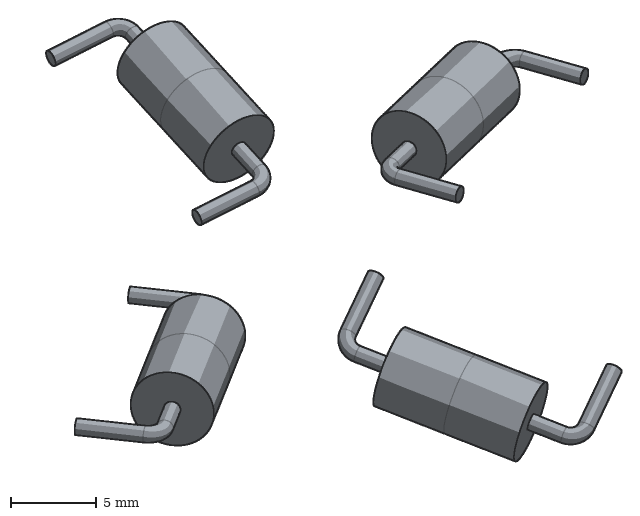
import cadquery as cq

overall_length = 16.24
overall_depth = 7.6
body_diameter = 5.0
body_length = 9.0
lead_diameter = 1.0
bend_radius = 1.0

lead_x = (overall_length - lead_diameter) / 2
lead_end_y = body_diameter / 2 - overall_depth


def make_body():
    """Solid cylinder centred on the origin, with its axis along X."""
    return cq.Workplane("YZ").circle(body_diameter / 2).extrude(body_length / 2, both=True)


def make_leads():
    """One round wire running through the body, with both ends bent toward -Y."""
    bend_start_x = lead_x - bend_radius
    path = (
        cq.Workplane("XY")
        .moveTo(-lead_x, lead_end_y)
        .lineTo(-lead_x, -bend_radius)
        .tangentArcPoint((-bend_start_x, 0), relative=False)
        .lineTo(bend_start_x, 0)
        .tangentArcPoint((lead_x, -bend_radius), relative=False)
        .lineTo(lead_x, lead_end_y)
    )
    lead_end = cq.Workplane("XZ", origin=(-lead_x, lead_end_y, 0))
    return lead_end.circle(lead_diameter / 2).sweep(path)


result = make_body().union(make_leads())